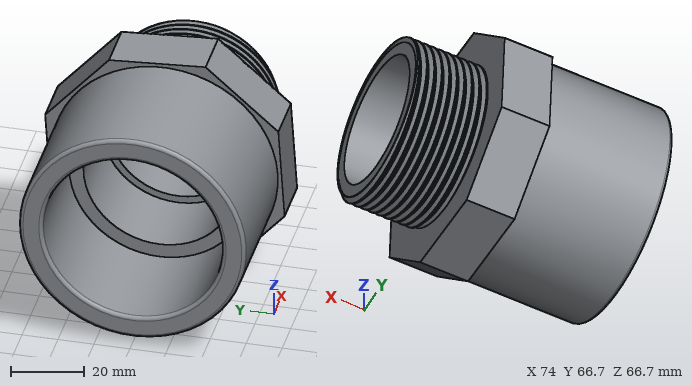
import cadquery as cq
import math

length = 74.0
nut_start = 37.9
nut_end = 52.55

socket_outer_diameter = 63.0
socket_inner_diameter = 50.0
socket_depth = 31.1
mouth_fillet = 1.0

nut_sides = 8
nut_across_flats = 65.05
nut_turn = -3.7

throat_diameter = 42.0
bore_diameter = 37.8
throat_end = nut_end

core_diameter = 44.8
crest_diameter = 47.8
pitch = 2.3
crest_width = 0.45
flank_angle = 27.5
lowest_crest_x = 50.0
turns = 11
profile_sink = 0.4


def cylinder(diameter, start, end):
    """Solid cylinder about the X axis between two X positions."""
    return cq.Workplane("YZ").workplane(offset=start).circle(diameter / 2).extrude(end - start)


def make_socket():
    """Outside of the socket, up to the nut."""
    return cylinder(socket_outer_diameter, 0, nut_start)


def make_nut():
    across_corners = nut_across_flats / math.cos(math.pi / nut_sides)
    corner_to_flat = 180 / nut_sides
    nut = cq.Workplane("YZ").workplane(offset=nut_start).polygon(nut_sides, across_corners)
    nut = nut.extrude(nut_end - nut_start)
    return nut.rotate((0, 0, 0), (1, 0, 0), corner_to_flat + nut_turn)


def make_fitting():
    """Socket, nut and plain spigot core with a stepped bore."""
    spigot = cylinder(core_diameter, nut_end, length)
    body = make_socket().union(make_nut()).union(spigot)
    body = body.cut(cylinder(socket_inner_diameter, 0, socket_depth))
    body = body.cut(cylinder(throat_diameter, socket_depth, throat_end))
    body = body.cut(cylinder(bore_diameter, throat_end, length))
    return body.faces("<X").edges().fillet(mouth_fillet)


def make_thread():
    """Right-handed ridge that sits on the spigot core and is trimmed flat at both ends."""
    crest_radius = crest_diameter / 2
    base_radius = core_diameter / 2 - profile_sink
    crest_half = crest_width / 2
    base_half = crest_half + (crest_radius - base_radius) * math.tan(math.radians(flank_angle))
    helix = cq.Wire.makeHelix(pitch, pitch * turns, base_radius)
    profile = cq.Workplane("XZ").polyline([
        (base_radius, -base_half),
        (crest_radius, -crest_half),
        (crest_radius, crest_half),
        (base_radius, base_half),
    ]).close()
    ridge = profile.sweep(cq.Workplane(helix), isFrenet=True)
    ridge = ridge.rotate((0, 0, 0), (0, 1, 0), 90).translate((lowest_crest_x, 0, 0))
    sleeve = cylinder(crest_diameter + pitch, nut_end, length)
    sleeve = sleeve.cut(cylinder(core_diameter, nut_end, length))
    return ridge.intersect(sleeve)


fitting = make_fitting()
thread = make_thread()

result = cq.Compound.makeCompound([fitting.val(), *thread.solids().vals()])